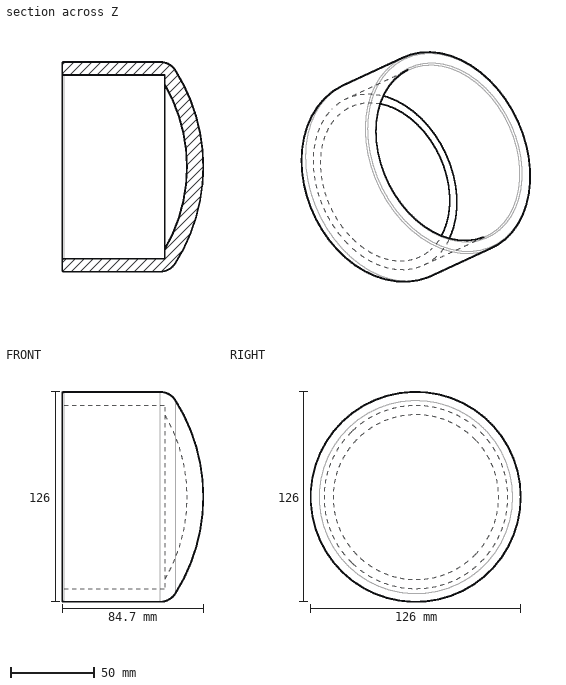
import cadquery as cq
import math

outer_radius = 63.0
total_length = 84.7
dome_radius = 108.4
knuckle_radius = 11.0
rim_round = 1.0
bore_radius = 110.0 / 2
inner_dome_edge_radius = 49.5
dome_wall = 10.0

dome_center_x = total_length - dome_radius
knuckle_center_radius = outer_radius - knuckle_radius
center_distance = dome_radius - knuckle_radius
knuckle_start_x = dome_center_x + math.sqrt(center_distance**2 - knuckle_center_radius**2)
dome_edge_angle = math.asin(knuckle_center_radius / center_distance)
knuckle_mid_angle = (dome_edge_angle + math.pi / 2) / 2

inner_dome_radius = dome_radius - dome_wall
inner_dome_edge_angle = math.asin(inner_dome_edge_radius / inner_dome_radius)
bore_depth = dome_center_x + inner_dome_radius * math.cos(inner_dome_edge_angle)


def arc_point(center_x, center_radius, radius, angle):
    """Point on an arc, with the angle measured from the +X axis."""
    return (center_x + radius * math.cos(angle), center_radius + radius * math.sin(angle))


def dome_point(radius, angle):
    return arc_point(dome_center_x, 0, radius, angle)


def revolve_about_x(profile):
    return profile.close().revolve(360, (0, 0, 0), (1, 0, 0))


def make_body():
    rim_mid = arc_point(rim_round, outer_radius - rim_round, rim_round, math.radians(135))
    knuckle_mid = arc_point(knuckle_start_x, knuckle_center_radius, knuckle_radius, knuckle_mid_angle)
    profile = (
        cq.Workplane("XY")
        .moveTo(0, 0)
        .lineTo(0, outer_radius - rim_round)
        .threePointArc(rim_mid, (rim_round, outer_radius))
        .lineTo(knuckle_start_x, outer_radius)
        .threePointArc(knuckle_mid, dome_point(dome_radius, dome_edge_angle))
        .threePointArc(dome_point(dome_radius, dome_edge_angle / 2), (total_length, 0))
    )
    return revolve_about_x(profile)


def make_cavity():
    """Bore with a rounded mouth, flat annular step and domed end."""
    mouth_mid = arc_point(rim_round, bore_radius + rim_round, rim_round, math.radians(225))
    profile = (
        cq.Workplane("XY")
        .moveTo(0, 0)
        .lineTo(0, bore_radius + rim_round)
        .threePointArc(mouth_mid, (rim_round, bore_radius))
        .lineTo(bore_depth, bore_radius)
        .lineTo(bore_depth, inner_dome_edge_radius)
        .threePointArc(
            dome_point(inner_dome_radius, inner_dome_edge_angle / 2),
            dome_point(inner_dome_radius, 0),
        )
    )
    return revolve_about_x(profile)


result = make_body().cut(make_cavity())